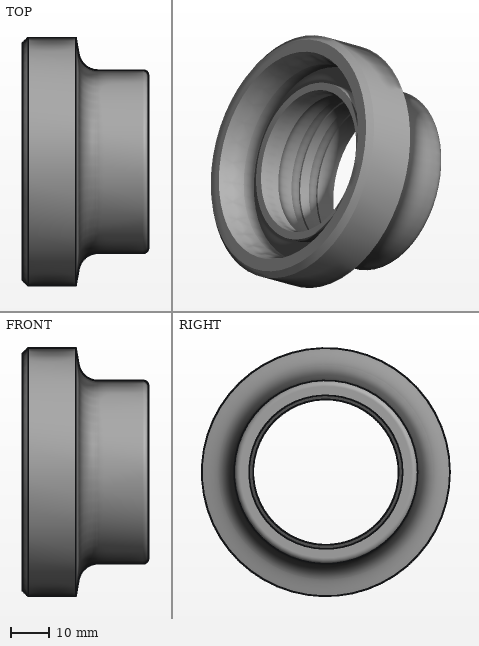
import cadquery as cq
import math

length = 33.0

flange_radius = 65.0 / 2
flange_width = 14.0
flange_chamfer = 1.5
back_face_angle = math.radians(10)
hub_radius = 48.0 / 2
hub_root_fillet = 5.0
hub_end_fillet = 1.5

socket_radius = 51.8 / 2
socket_taper_length = 7.0
socket_taper_angle = math.radians(15)
socket_depth = 10.5
mouth_radius = socket_radius + socket_taper_length * math.tan(socket_taper_angle)

collar_radius = 42.0 / 2
collar_height = 3.5
collar_face_x = socket_depth - collar_height

narrow_bore_radius = 38.0 / 2
narrow_bore_end_x = 13.0
bore_radius = 40.2 / 2
groove_radius = 41.2 / 2
groove_width = 3.0
first_groove_x = 18.5
groove_pitch = 6.0
groove_count = 2


def make_outside():
    """Solid flange and hub, blended by a coned back face and a round fillet."""
    fillet_center_x = (
        flange_width
        + (flange_radius - hub_radius - hub_root_fillet) * math.tan(back_face_angle)
        + hub_root_fillet / math.cos(back_face_angle)
    )
    fillet_center_radius = hub_radius + hub_root_fillet

    def fillet_point(angle):
        return (
            fillet_center_x - hub_root_fillet * math.cos(angle),
            fillet_center_radius - hub_root_fillet * math.sin(angle),
        )

    fillet_middle_angle = (back_face_angle + math.pi / 2) / 2
    outline = (
        cq.Workplane("XY")
        .moveTo(0, 0)
        .lineTo(0, flange_radius - flange_chamfer)
        .lineTo(flange_chamfer, flange_radius)
        .lineTo(flange_width, flange_radius)
        .lineTo(*fillet_point(back_face_angle))
        .threePointArc(fillet_point(fillet_middle_angle), fillet_point(math.pi / 2))
        .lineTo(length, hub_radius)
        .lineTo(length, 0)
        .close()
    )
    solid = outline.revolve(360, (0, 0, 0), (1, 0, 0))
    return solid.faces(">X").edges().fillet(hub_end_fillet)


def make_disc(start_x, end_x, radius):
    """Cylinder on the X axis between two X positions."""
    return cq.Workplane("YZ").workplane(offset=start_x).circle(radius).extrude(end_x - start_x)


def make_socket():
    """Socket space in the flange, leaving the collar standing on its floor."""
    space = (
        cq.Workplane("XY")
        .moveTo(0, 0)
        .lineTo(0, mouth_radius)
        .lineTo(socket_taper_length, socket_radius)
        .lineTo(socket_depth, socket_radius)
        .lineTo(socket_depth, 0)
        .close()
        .revolve(360, (0, 0, 0), (1, 0, 0))
    )
    return space.cut(make_disc(collar_face_x, socket_depth, collar_radius))


def make_bore():
    """Stepped through bore with its ring grooves."""
    bore = make_disc(collar_face_x, narrow_bore_end_x, narrow_bore_radius)
    bore = bore.union(make_disc(narrow_bore_end_x, length, bore_radius))
    for index in range(groove_count):
        groove_x = first_groove_x + index * groove_pitch
        bore = bore.union(make_disc(groove_x, groove_x + groove_width, groove_radius))
    return bore


result = make_outside().cut(make_socket()).cut(make_bore())